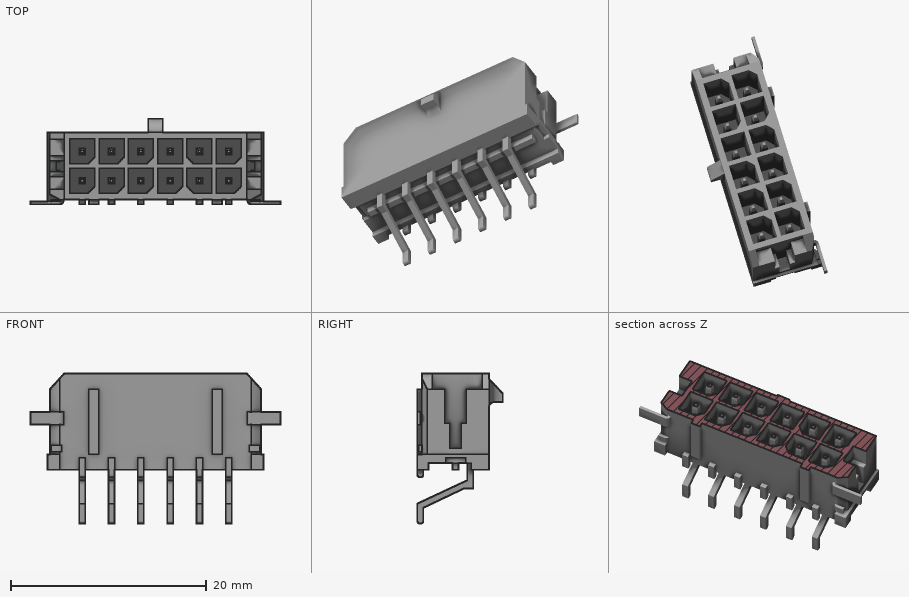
import cadquery as cq


columns = 6
pitch = 3.0
pin_width = 0.65
pin_half = pin_width / 2
row_y = pitch / 2
column_x = [(i - (columns - 1) / 2) * pitch for i in range(columns)]

housing_height = 9.88
core_half_length = 9.35
front_half_length = 9.82
body_half_length = 10.82
body_half_depth = 3.44
stand_off = 0.5
mount_y = -body_half_depth - stand_off
post_top = 8.25
corner_setback = 0.55

foot_half_length = 11.08
foot_height = 1.6

floor_gap = 0.7
gap_back = 1.6
gap_front = -2.75
foot_pocket_back = 1.05
foot_pocket_front = -0.97
foot_pocket_top = 1.23
foot_pocket_depth = 0.65

gusset_back = 2.72
gusset_front = -2.35
slot_half_width = 1.08
slot_bottom = 4.77
key_half_width = 0.56
key_bottom = 2.23
well_half_width = 0.44
well_end = 10.15
well_depth = 0.51

cavity_size = 2.56
cavity_chamfer = 0.7
cavity_floor = 2.23
pin_top = 7.18
tip_height = 0.77
tip_size = 0.28

rib_x = 6.3
rib_width = 1.03
rib_bottom = 1.62

latch_half_width = 0.75
latch_reach = 1.4
latch_start = 9.3
latch_nose_top = 7.82
latch_nose_bottom = 6.93
latch_radius = 0.51

front_tail_bottom = -0.77
front_tail_top = 1.23
tail_bottom = -5.51
tail_round = 0.28
tail_bend = -1.92
tail_bend_flat = 0.87
tail_inner_bend = -1.08
tail_outer_knee = -3.45
tail_inner_knee = -3.9

tab_half_span = 12.82
tab_root = 9.41
tab_bottom = 4.62
tab_top = 5.93
tab_thickness = 0.3
bend_radius = 0.38
clip_root = 9.6
clip_end = 10.7
clip_bottom = 1.85
clip_top = 2.55
clip_face = -3.75


def box(x0, x1, y0, y1, z0, z1):
    """Axis-aligned block between the given limits."""
    return cq.Workplane("XY").box(x1 - x0, y1 - y0, z1 - z0, centered=False).translate((x0, y0, z0))


def along_x(points, center_x, width):
    """Extrude a closed (Y, Z) outline symmetrically about center_x."""
    return cq.Workplane("YZ", origin=(center_x - width / 2, 0, 0)).polyline(points).close().extrude(width)


def both_ends(solid):
    """The solid together with its mirror image at the other end of the housing."""
    return solid.union(solid.mirror("YZ"))


def make_housing():
    """Bevelled outer block with feet, open underside and slotted end posts."""
    plan = [
        (-body_half_length, body_half_depth),
        (body_half_length, body_half_depth),
        (body_half_length, -body_half_depth + corner_setback),
        (front_half_length, -body_half_depth),
        (-front_half_length, -body_half_depth),
        (-body_half_length, -body_half_depth + corner_setback),
    ]
    elevation = [
        (-body_half_length, 0),
        (body_half_length, 0),
        (body_half_length, post_top),
        (core_half_length, housing_height),
        (-core_half_length, housing_height),
        (-body_half_length, post_top),
    ]
    block = cq.Workplane("XY").polyline(plan).close().extrude(housing_height)
    trim = cq.Workplane("XZ").polyline(elevation).close().extrude(body_half_depth, both=True)
    foot = box(front_half_length, foot_half_length, mount_y, body_half_depth, 0, foot_height)
    housing = block.intersect(trim).union(both_ends(foot))

    opening = box(core_half_length, foot_half_length, gusset_front, gusset_back, post_top, housing_height)
    slot = box(core_half_length, body_half_length, -slot_half_width, slot_half_width, slot_bottom, post_top)
    key = box(core_half_length, body_half_length, -key_half_width, key_half_width, key_bottom, slot_bottom)
    well_bottom = key_bottom - well_depth
    well = box(front_half_length, well_end, -well_half_width, well_half_width, well_bottom, key_bottom)
    well_back = box(
        core_half_length, front_half_length,
        -key_half_width, key_half_width,
        well_bottom, key_bottom,
    )

    foot_pocket = box(
        foot_half_length - foot_pocket_depth, foot_half_length,
        foot_pocket_front, foot_pocket_back,
        floor_gap, foot_pocket_top,
    )
    for pocket in (opening, slot, key, well, well_back, foot_pocket):
        housing = housing.cut(both_ends(pocket))

    channel = box(-foot_half_length, foot_half_length, gap_front, gap_back, 0, floor_gap)
    divider = box(-front_half_length, front_half_length, -pin_half, pin_half, 0, floor_gap)
    return housing.cut(channel).union(divider)


def make_cavity(x, y, corner):
    """Terminal cavity; corner is the bevelled edge ("right", "left") on its -Y side, or None."""
    cavity = (
        cq.Workplane("XY", origin=(x, y, cavity_floor))
        .rect(cavity_size, cavity_size)
        .extrude(housing_height - cavity_floor)
    )
    if corner == "right":
        return cavity.edges("|Z and >X and <Y").chamfer(cavity_chamfer)
    if corner == "left":
        return cavity.edges("|Z and <X and <Y").chamfer(cavity_chamfer)
    return cavity


def make_contact(x, y):
    """Square pin standing in a cavity, with a tapered tip."""
    shaft = box(x - pin_half, x + pin_half, y - pin_half, y + pin_half, cavity_floor, pin_top - tip_height)
    tip = (
        shaft.faces(">Z").workplane(origin=(x, y, 0)).rect(pin_width, pin_width)
        .workplane(offset=tip_height).rect(tip_size, tip_size)
        .loft(combine=False)
    )
    return shaft.union(tip)


def make_front_tail(x):
    """Short tail of the front row, leaving through the front wall."""
    tail = box(x - pin_half, x + pin_half, mount_y, mount_y + pin_width, front_tail_bottom, front_tail_top)
    return tail.faces("<Z").edges("|X").fillet(tail_round)


def make_rear_tail(x):
    """Long cranked tail of the rear row, slanting forward to the mounting plane."""
    outline = [
        (row_y + pin_half, floor_gap),
        (row_y + pin_half, tail_bend),
        (tail_bend_flat, tail_bend),
        (mount_y + pin_width, tail_inner_knee),
        (mount_y + pin_width, tail_bottom),
        (mount_y, tail_bottom),
        (mount_y, tail_outer_knee),
        (row_y - pin_half, tail_inner_bend),
        (row_y - pin_half, floor_gap),
    ]
    return along_x(outline, x, pin_width).faces("<Z").edges("|X").fillet(tail_round)


def make_latch():
    """Ramped catch on the back face, undercut with a concave fillet."""
    nose_y = body_half_depth + latch_reach
    arc_y = body_half_depth + latch_radius
    arc_z = latch_nose_bottom - latch_radius
    return (
        cq.Workplane("YZ", origin=(-latch_half_width, 0, 0))
        .moveTo(body_half_depth, latch_start)
        .lineTo(nose_y, latch_nose_top)
        .lineTo(nose_y, latch_nose_bottom)
        .lineTo(arc_y, latch_nose_bottom)
        .radiusArc((body_half_depth, arc_z), -latch_radius)
        .close()
        .extrude(2 * latch_half_width)
    )


def make_hold_down(root_x, end_x, face_y, z0, z1):
    """Metal strip leaving the front face and bending outward parallel to it."""
    back_y = face_y + tab_thickness
    strip = box(root_x, end_x, face_y, back_y, z0, z1)
    leg = box(root_x, root_x + tab_thickness, face_y, -body_half_depth + corner_setback, z0, z1)
    return strip.union(leg).edges("|Z and <X and <Y").fillet(bend_radius)


def make_rib(x):
    """Vertical stand-off rib on the front face."""
    return box(x - rib_width / 2, x + rib_width / 2, mount_y, -body_half_depth, rib_bottom, post_top)


result = make_housing()

bevels = {
    row_y: ["right", "right", "right", None, "left", "right"],
    -row_y: ["right", "right", "right", "right", "left", "right"],
}
for y, corners in bevels.items():
    for x, corner in zip(column_x, corners):
        result = result.cut(make_cavity(x, y, corner)).union(make_contact(x, y))

for x in column_x:
    result = result.union(make_front_tail(x)).union(make_rear_tail(x))

for x in (-rib_x, rib_x):
    result = result.union(make_rib(x))

result = result.union(make_latch())
result = result.union(both_ends(make_hold_down(tab_root, tab_half_span, mount_y, tab_bottom, tab_top)))
result = result.union(both_ends(make_hold_down(clip_root, clip_end, clip_face, clip_bottom, clip_top)))